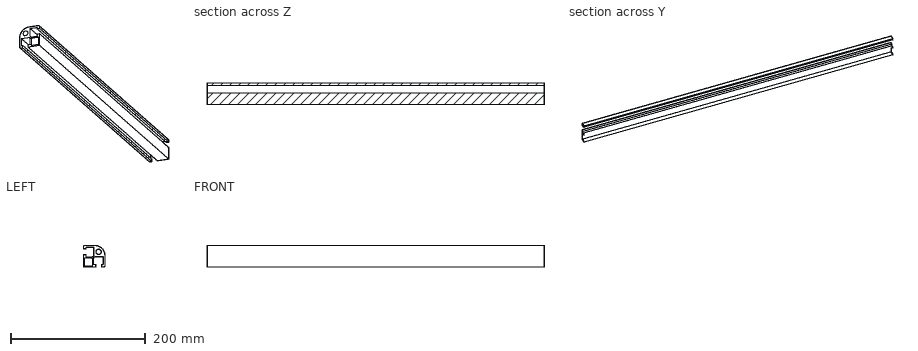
import cadquery as cq

length = 500.0
side = 32.0
corner_radius = 15.0
skin = 3.0
box_side = 15.0
box_wall = 1.8
slot_lower = 18.5
slot_upper = 27.0
lip_depth = 4.0
channel_fillet = 2.5
cavity_fillet = 1.5
edge_fillet = 2.0
bore_diameter = 7.5
bore_offset = 9.5

half = side / 2


def prism(points):
    """Extrude a section outline given as (distance from +Y side, height) pairs."""
    outline = [(half - across, height - half) for across, height in points]
    return cq.Workplane("YZ").polyline(outline).close().extrude(length / 2, both=True)


def box(across_min, across_max, height_min, height_max):
    return prism([
        (across_min, height_min),
        (across_max, height_min),
        (across_max, height_max),
        (across_min, height_max),
    ])


def edge_at(across, height):
    """Select the lengthwise edge passing through one point of the section."""
    return cq.selectors.NearestToPointSelector((0, half - across, height - half))


def make_channel(mirrored):
    """T-slot opening: a wide channel behind a narrower mouth."""
    channel_limits = (lip_depth, box_side, box_side, side - skin)
    mouth_limits = (0, lip_depth, slot_lower, slot_upper)
    if mirrored:
        channel_limits = channel_limits[2:] + channel_limits[:2]
        mouth_limits = mouth_limits[2:] + mouth_limits[:2]
    channel = box(*channel_limits).edges(edge_at(box_side, box_side)).fillet(channel_fillet)
    return channel.union(box(*mouth_limits))


profile = box(0, side, 0, side)
profile = profile.edges(edge_at(side, side)).fillet(corner_radius)
for across, height in ((0, side), (side, 0)):
    profile = profile.edges(edge_at(across, height)).fillet(edge_fillet)

for mirrored in (False, True):
    profile = profile.cut(make_channel(mirrored))

cavity_max = box_side - box_wall
cavity = box(box_wall, cavity_max, box_wall, cavity_max)
cavity = cavity.edges(edge_at(cavity_max, cavity_max)).fillet(cavity_fillet)
profile = profile.cut(cavity)

bore_place = half - bore_offset
bore = (
    cq.Workplane("YZ")
    .center(-bore_place, bore_place)
    .circle(bore_diameter / 2)
    .extrude(length / 2, both=True)
)
result = profile.cut(bore)